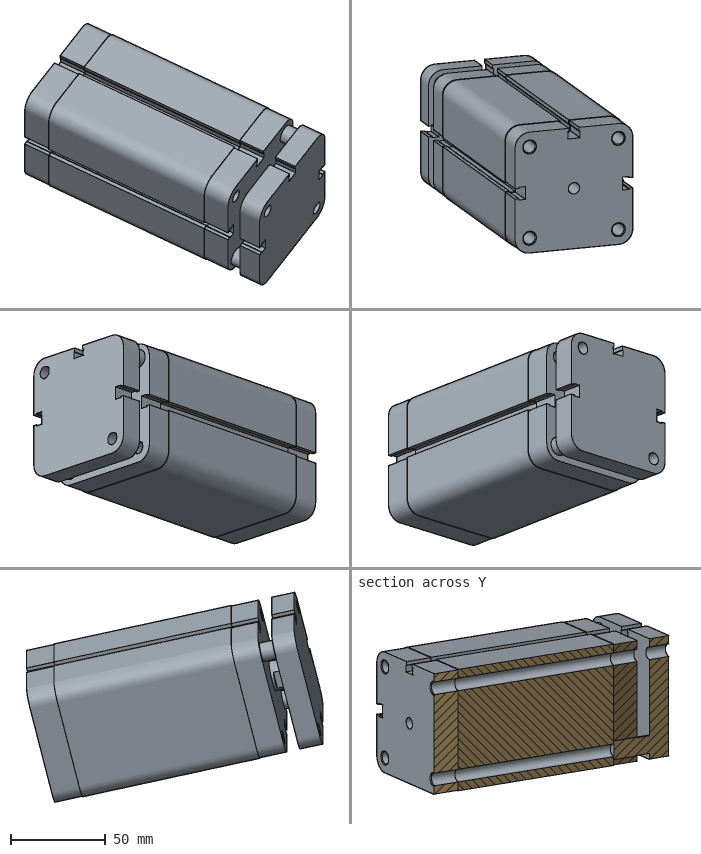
import cadquery as cq

barrel_start = 15.0
barrel_end = 111.3
front_cap_end = 125.9
plate_start = 133.3
plate_end = 145.5

barrel_width = 67.0
cover_setback = 0.3
cover_width = barrel_width - 2 * cover_setback
corner_offset = 25.0

slot_step_height = 31.0
slot_floor_height = 27.4
barrel_slot_mouth = 5.0
barrel_slot_inner = 6.1
slot_relief = 0.5
cover_slot_mouth = barrel_slot_mouth + 2 * slot_relief
cover_slot_inner = barrel_slot_inner + 2 * slot_relief

screw_hole_diameter = 6.7
screw_mouth_diameter = 7.7
screw_chamfer = (screw_mouth_diameter - screw_hole_diameter) / 2
centre_hole_diameter = 6.3

guide_rod_diameter = 10.0
piston_rod_diameter = 16.0
piston_rod_chamfer = 0.5
flat_width = 13.0
flat_shoulder_top = front_cap_end + 1.3
flat_shoulder_foot = front_cap_end + 1.6

screw_corners = [(-corner_offset, corner_offset), (corner_offset, -corner_offset)]
guide_corners = [(corner_offset, corner_offset), (-corner_offset, -corner_offset)]


def section_plane(x):
    """Plane across the axis at x, with local coordinates (Y, Z)."""
    return cq.Workplane("YZ", origin=(x, 0, 0))


def round_bars(centres, diameter, start, end):
    return section_plane(start).pushPoints(centres).circle(diameter / 2).extrude(end - start)


def sensor_slot(start, end, mouth, inner):
    """Cutter for the top slot: a mouth that widens below the step."""
    top = barrel_width / 2
    length = end - start
    mouth_cut = (
        section_plane(start)
        .center(0, (slot_floor_height + top) / 2)
        .rect(mouth, top - slot_floor_height)
        .extrude(length)
    )
    inner_cut = (
        section_plane(start)
        .center(0, (slot_floor_height + slot_step_height) / 2)
        .rect(inner, slot_step_height - slot_floor_height)
        .extrude(length)
    )
    return mouth_cut.union(inner_cut)


def slotted_block(start, end, width, mouth, inner):
    """Square block with rounded corners and a sensor slot in the top and both sides."""
    corner_radius = width / 2 - corner_offset
    block = section_plane(start).rect(width, width).extrude(end - start)
    block = block.edges("|X").fillet(corner_radius)
    slot = sensor_slot(start, end, mouth, inner)
    for angle in (-90, 0, 90):
        block = block.cut(slot.rotate((0, 0, 0), (1, 0, 0), angle))
    return block


def make_rear_cap():
    cap = slotted_block(0, barrel_start, cover_width, cover_slot_mouth, cover_slot_inner)
    cap = cap.cut(round_bars(screw_corners + guide_corners, screw_hole_diameter, 0, barrel_start))
    for y, z in screw_corners + guide_corners:
        mouth = cq.Solid.makeCone(
            screw_mouth_diameter / 2,
            screw_hole_diameter / 2,
            screw_chamfer,
            pnt=cq.Vector(0, y, z),
            dir=cq.Vector(1, 0, 0),
        )
        cap = cap.cut(cq.Workplane(mouth))
    return cap.cut(round_bars([(0, 0)], centre_hole_diameter, 0, barrel_start))


def make_barrel():
    barrel = slotted_block(barrel_start, barrel_end, barrel_width, barrel_slot_mouth, barrel_slot_inner)
    return barrel.cut(
        round_bars(screw_corners + guide_corners, screw_hole_diameter, barrel_start, barrel_end)
    )


def make_front_cap():
    cap = slotted_block(barrel_end, front_cap_end, cover_width, cover_slot_mouth, cover_slot_inner)
    cap = cap.cut(round_bars(screw_corners, screw_hole_diameter, barrel_end, front_cap_end))
    cap = cap.cut(round_bars(guide_corners, guide_rod_diameter, barrel_end, front_cap_end))
    return cap.cut(round_bars([(0, 0)], piston_rod_diameter, barrel_end, front_cap_end))


def make_piston_rod():
    """Rod from the barrel to the plate, with wrench flats above and below its exposed end."""
    rod = round_bars([(0, 0)], piston_rod_diameter, barrel_end, plate_start)
    rod = rod.faces(">X").chamfer(piston_rod_chamfer)
    rod_radius = piston_rod_diameter / 2
    flat_height = flat_width / 2
    flat_cut = (
        cq.Workplane("XZ")
        .moveTo(flat_shoulder_top, rod_radius)
        .lineTo(flat_shoulder_foot, flat_height)
        .lineTo(plate_start, flat_height)
        .lineTo(plate_start, rod_radius)
        .close()
        .extrude(rod_radius, both=True)
    )
    return rod.cut(flat_cut).cut(flat_cut.mirror("XY"))


def make_guided_plate():
    """Moving plate with its two guide rods, which slide in the front cap."""
    plate = slotted_block(plate_start, plate_end, cover_width, cover_slot_mouth, cover_slot_inner)
    plate = plate.cut(round_bars(screw_corners, screw_hole_diameter, plate_start, plate_end))
    return plate.union(round_bars(guide_corners, guide_rod_diameter, barrel_end, plate_start))


rear_cap = make_rear_cap()
barrel = make_barrel()
front_cap = make_front_cap()
piston_rod = make_piston_rod()
guided_plate = make_guided_plate()

result = cq.Compound.makeCompound(
    [rear_cap.val(), barrel.val(), front_cap.val(), piston_rod.val(), guided_plate.val()]
)